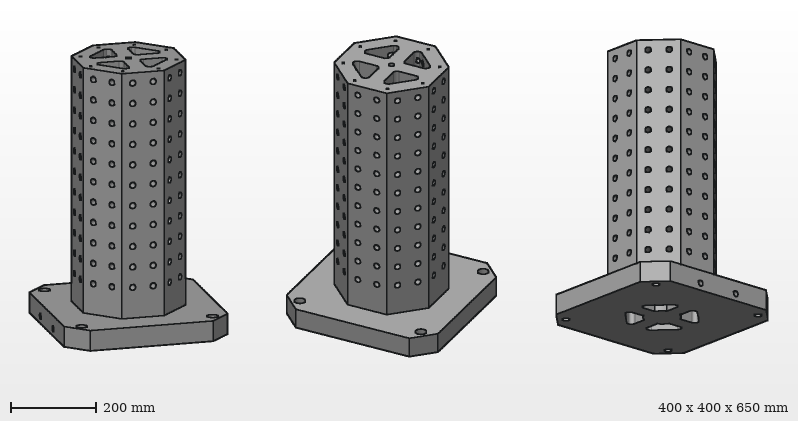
import cadquery as cq
import math

base_width = 400.0
base_thickness = 50.0
base_corner_cut = 50.0

bolt_spacing = 320.0
bolt_diameter = 18.0
counterbore_diameter = 26.0
counterbore_depth = 18.0

drill_point_angle = 118.0
edge_hole_diameter = 13.84
edge_hole_offset = 55.0
edge_hole_height = 18.0
edge_hole_depth = 30.0

total_height = 650.0
column_across_flats = 250.0
wall_thickness = 40.0
cavity_across_flats = column_across_flats - 2 * wall_thickness
head_thickness = 60.0
rib_width = 40.0
window_fillet = 10.0
hub_diameter = 90.0

face_count = 8
face_angle = 360.0 / face_count
fixture_hole_diameter = 14.0
fixture_hole_pitch = 50.0
fixture_column_offset = fixture_hole_pitch / 2
fixture_row_count = 11
fixture_hole_depth = 40.0
first_row_drop = 25.0

lifting_hole_diameter = 13.84
lifting_hole_depth = 35.0
cover_hole_diameter = 5.0
cover_hole_depth = 15.0
cover_hole_edge_distance = 20.0


def octagon_prism(across_flats, bottom, top):
    """Upright octagonal prism with flats facing X and Y."""
    corner_diameter = across_flats / math.cos(math.pi / face_count)
    prism = cq.Workplane("XY").polygon(face_count, corner_diameter).extrude(top - bottom)
    return prism.rotate((0, 0, 0), (0, 0, 1), face_angle / 2).translate((0, 0, bottom))


def rib_cross(bottom, top):
    """Two crossing ribs along X and Y, spanning the cavity."""
    height = top - bottom
    along_x = cq.Workplane("XY").rect(column_across_flats, rib_width).extrude(height)
    along_y = along_x.rotate((0, 0, 0), (0, 0, 1), 90)
    return along_x.union(along_y).translate((0, 0, bottom))


def windows(bottom, top):
    """Four vertical openings left between the ribs, with rounded corners."""
    openings = octagon_prism(cavity_across_flats, bottom, top).cut(rib_cross(bottom, top))
    return openings.edges("|Z").fillet(window_fillet)


def blind_hole(diameter, depth, start, direction):
    """Drilled hole with a conical bottom."""
    radius = diameter / 2
    point_length = radius / math.tan(math.radians(drill_point_angle / 2))
    origin = cq.Vector(*start)
    axis = cq.Vector(*direction)
    bore = cq.Solid.makeCylinder(radius, depth, origin, axis)
    point = cq.Solid.makeCone(radius, 0, point_length, origin + axis * depth, axis)
    return cq.Workplane(bore.fuse(point))


def make_base():
    plate = cq.Workplane("XY").rect(base_width, base_width).extrude(base_thickness)
    plate = plate.edges("|Z").chamfer(base_corner_cut)
    plate = (
        plate.faces(">Z")
        .workplane()
        .rect(bolt_spacing, bolt_spacing, forConstruction=True)
        .vertices()
        .cboreHole(bolt_diameter, counterbore_diameter, counterbore_depth)
    )
    for x in (-edge_hole_offset, edge_hole_offset):
        start = (x, -base_width / 2, edge_hole_height)
        plate = plate.cut(blind_hole(edge_hole_diameter, edge_hole_depth, start, (0, 1, 0)))
    hub = cq.Workplane("XY").circle(hub_diameter / 2).extrude(base_thickness)
    return plate.cut(windows(0, base_thickness).cut(hub))


def make_column():
    head_bottom = total_height - head_thickness
    column = octagon_prism(column_across_flats, base_thickness, total_height)
    cavity = octagon_prism(cavity_across_flats, base_thickness, head_bottom)
    cavity = cavity.edges("|Z").fillet(window_fillet)
    return column.cut(cavity).cut(windows(head_bottom, total_height))


def fixture_holes():
    """Cutter with two columns of radial holes for each of the faces."""
    one_face = []
    for row in range(fixture_row_count):
        height = total_height - first_row_drop - row * fixture_hole_pitch
        for offset in (-fixture_column_offset, fixture_column_offset):
            start = (offset, -column_across_flats / 2, height)
            one_face.append(blind_hole(fixture_hole_diameter, fixture_hole_depth, start, (0, 1, 0)).val())
    all_faces = []
    for i in range(face_count):
        all_faces += [hole.rotate((0, 0, 0), (0, 0, 1), i * face_angle) for hole in one_face]
    return cq.Workplane(cq.Compound.makeCompound(all_faces))


def cut_top_holes(body):
    down = (0, 0, -1)
    body = body.cut(blind_hole(lifting_hole_diameter, lifting_hole_depth, (0, 0, total_height), down))
    apothem = column_across_flats / 2 - cover_hole_edge_distance
    radius = apothem / math.cos(math.pi / face_count)
    for i in range(face_count):
        angle = math.radians((i + 0.5) * face_angle)
        start = (radius * math.cos(angle), radius * math.sin(angle), total_height)
        body = body.cut(blind_hole(cover_hole_diameter, cover_hole_depth, start, down))
    return body


body = make_base().union(make_column())
body = body.cut(fixture_holes())
result = cut_top_holes(body)